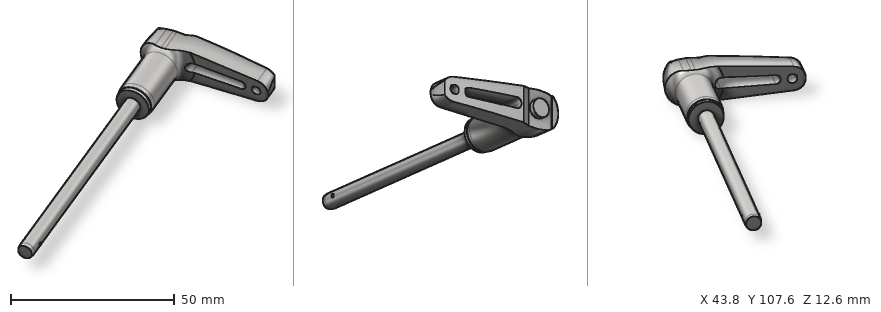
import cadquery as cq
import math

total_length = 107.6

handle_half_width = 6.3
heel_radius = 6.1
heel_x = -8.4
heel_center_x = heel_x + heel_radius
crown_half_length = 0.6
nose_x = 35.4
nose_radius = 4.1
nose_center_x = nose_x - nose_radius
nose_top_x = 34.6
nose_top_y = -3.1
nose_bottom_y = -9.5
nose_flat_start_x = 34.5
heel_top_y = -1.3
seat_y = -1.7
seat_start_x = -5.2
seat_end_x = 3.4
ridge_x = 6.3
ridge_y = -0.5
back_mid_x = 19.4
back_mid_y = -1.4
heel_bottom_y = -7.3
flare_top_y = -8.3

heel_face_radius = 7.9
heel_slant_run = 0.8
heel_slant_height = 7.0
heel_face_length = 43.0

slot_start_x = 7.1
slot_start_radius = 1.8
slot_end_x = 27.5
slot_end_radius = 1.5
hole_x = 31.2
hole_radius = 1.5

button_radius = 3.0
barrel_radius = 5.9
flare_radius = 4.1
flare_end_y = flare_top_y - flare_radius
barrel_taper_y = -28.6
barrel_end_y = -30.2
barrel_end_radius = 5.7
collar_radius = 5.5
collar_end_y = -31.6
pin_radius = 2.6
tip_radius = 2.4
tip_length = 1.4

ball_radius = 0.6
ball_y = -102.2
ball_protrusions = {1: 0.3, -1: 0.1}


def tangent_point(center_x, radius, point_x, point_z):
    """Upper tangent point, on a circle centred on the X axis, of a line from an outside point."""
    run = point_x - center_x
    distance = math.hypot(run, point_z)
    toward_point = math.atan2(point_z, run)
    spread = math.acos(radius / distance)
    angle = toward_point + math.copysign(spread, math.pi / 2 - toward_point)
    return center_x + radius * math.cos(angle), radius * math.sin(angle)


def across_y(start_y):
    """Workplane normal to Y, with sketch axes X and Z; positive extrusion runs toward -Y."""
    return cq.Workplane("XZ", origin=(0, start_y, 0))


def handle_plan():
    """Tapered outline with a round heel and nose, extruded through the handle depth."""
    heel_px, heel_pz = tangent_point(heel_center_x, heel_radius, -crown_half_length, handle_half_width)
    nose_px, nose_pz = tangent_point(nose_center_x, nose_radius, crown_half_length, handle_half_width)
    return (
        across_y(0)
        .moveTo(heel_px, heel_pz)
        .lineTo(-crown_half_length, handle_half_width)
        .lineTo(crown_half_length, handle_half_width)
        .lineTo(nose_px, nose_pz)
        .threePointArc((nose_x, 0), (nose_px, -nose_pz))
        .lineTo(crown_half_length, -handle_half_width)
        .lineTo(-crown_half_length, -handle_half_width)
        .lineTo(heel_px, -heel_pz)
        .threePointArc((heel_x, 0), (heel_px, heel_pz))
        .close()
        .extrude(-flare_end_y)
    )


def handle_profile():
    """Side profile of the handle: seat for the button, curved back and slanted nose."""
    return (
        cq.Workplane("XY")
        .moveTo(heel_x, heel_bottom_y)
        .lineTo(heel_x, heel_top_y)
        .lineTo(seat_start_x, heel_top_y)
        .lineTo(seat_start_x, seat_y)
        .lineTo(seat_end_x, seat_y)
        .lineTo(ridge_x, ridge_y)
        .threePointArc((back_mid_x, back_mid_y), (nose_top_x, nose_top_y))
        .lineTo(nose_x, nose_bottom_y)
        .lineTo(nose_flat_start_x, nose_bottom_y)
        .close()
        .extrude(handle_half_width, both=True)
    )


def neck_flare():
    """Concave flare that blends the barrel into the underside of the handle."""
    outer = barrel_radius + flare_radius
    arc_offset = flare_radius * math.sqrt(0.5)
    return (
        cq.Workplane("XY")
        .moveTo(0, flare_end_y)
        .lineTo(barrel_radius, flare_end_y)
        .threePointArc((outer - arc_offset, flare_end_y + arc_offset), (outer, flare_top_y))
        .lineTo(outer, (flare_top_y + seat_y) / 2)
        .lineTo(0, (flare_top_y + seat_y) / 2)
        .close()
        .revolve(360, (0, 0, 0), (0, 1, 0))
    )


def heel_slant():
    """Space kept by the slanted heel face, as a leaning cylinder and everything in front of it."""
    lean = math.degrees(math.atan2(heel_slant_run, heel_slant_height))
    center_x = heel_x + heel_face_radius
    half_length = heel_face_length / 2
    cylinder = across_y(half_length).center(center_x, 0).circle(heel_face_radius).extrude(heel_face_length)
    front = across_y(half_length).center(center_x + nose_x, 0).rect(2 * nose_x, 4 * heel_face_radius)
    kept = cylinder.union(front.extrude(heel_face_length))
    return kept.rotate((heel_x, 0, 0), (heel_x, 0, 1), -lean).translate((0, flare_top_y, 0))


def handle_openings():
    """Tapered finger slot and lanyard hole, both passing through along Y."""
    start_center = slot_start_x + slot_start_radius
    end_center = slot_end_x - slot_end_radius
    slot = (
        across_y(0)
        .moveTo(start_center, slot_start_radius)
        .lineTo(end_center, slot_end_radius)
        .threePointArc((slot_end_x, 0), (end_center, -slot_end_radius))
        .lineTo(start_center, -slot_start_radius)
        .threePointArc((slot_start_x, 0), (start_center, slot_start_radius))
        .close()
        .extrude(-flare_end_y)
    )
    hole = across_y(0).center(hole_x, 0).circle(hole_radius).extrude(-flare_end_y)
    return slot.union(hole)


def turned_core():
    """Button, barrel, collar and pin revolved about the Y axis."""
    outline = [
        (0, 0),
        (button_radius, 0),
        (button_radius, flare_top_y),
        (barrel_radius, flare_top_y),
        (barrel_radius, barrel_taper_y),
        (barrel_end_radius, barrel_end_y),
        (collar_radius, barrel_end_y),
        (collar_radius, collar_end_y),
        (pin_radius, collar_end_y),
        (pin_radius, tip_length - total_length),
        (tip_radius, -total_length),
        (0, -total_length),
    ]
    return cq.Workplane("XY").polyline(outline).close().revolve(360, (0, 0, 0), (0, 1, 0))


def locking_ball(side, protrusion):
    ball_x = side * (pin_radius + protrusion - ball_radius)
    return cq.Workplane("XY").sphere(ball_radius).translate((ball_x, ball_y, 0))


handle = handle_profile().union(neck_flare())
handle = handle.intersect(handle_plan()).intersect(heel_slant()).cut(handle_openings())
result = handle.union(turned_core())
for side, protrusion in ball_protrusions.items():
    result = result.union(locking_ball(side, protrusion))